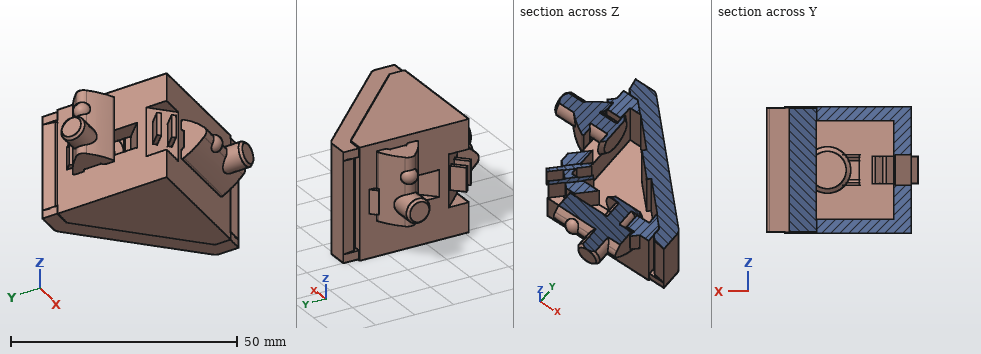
import cadquery as cq
import math


DIAGONAL = math.sqrt(2)

HOUSING_SIDE = 28.0
HOUSING_FLAT = 4.0
WALL = 3.9
CAVITY_REACH = 25.2
CAVITY_HEIGHT = 21.67
NOTCH_LEG = 5.15
NOTCH_HEIGHT = 13.15
WINDOW_START = 7.55

BLADE_HEIGHT = 6.0
BLADE_THICKNESS = 1.0
TERMINAL_OFFSET = 1.7
TERMINAL_LENGTH = 10.1
TAB_OFFSET = 17.55
TAB_TIP = 15.95
TAB_LENGTH = 4.2

COVER_INSET = 0.3
COVER_OVERHANG = 4.0
COVER_THICKNESS = 4.25
COVER_FILLET = 2.1
COVER_PAD_WIDTH = 7.73
COVER_PAD_THICKNESS = 1.0
END_POCKET_HEIGHT = 23.1
END_POCKET_DEPTH = 0.5
END_POCKET_RAMP = 1.05

KNOB_CENTER = 18.52
STICK_DIAMETER = 6.0
STICK_REACH = 10.0
STICK_TIP_DIAMETER = 4.9
STICK_CHAMFER_LENGTH = 0.67
FLANGE_DIAMETER = 10.3
FLANGE_THICKNESS = 1.0
SLOT_CLEARANCE = 0.35
BAR_FRONT = 12.0
BAR_BACK = 5.05
RIDGE_HEIGHT = 6.4
RIDGE_SHOULDER = (1.3, 5.8)
FLANK_MIDDLE = (3.45, 3.4)
FLANK_END = (5.12, 0.65)
BAR_EDGE = (5.25, 0.3)
BAR_FOOT = 5.1
GROOVE_HALF_WIDTH = 2.1
GROOVE_DEPTH = 0.67
BUMP_RADIUS = 2.0
BUMP_CENTER_HEIGHT = 5.35
BUMP_OFFSET = 7.05

HYPOTENUSE_SUM = HOUSING_SIDE + HOUSING_FLAT
HYPOTENUSE_DISTANCE = HYPOTENUSE_SUM / DIAGONAL


def prism(points, height):
    """Vertical prism over an XY outline, centred on Z = 0."""
    return cq.Workplane("XY").polyline(points).close().extrude(height / 2, both=True)


def swapped(points):
    """The outline mirrored across the plane X = Y."""
    return [(y, x) for x, y in points]


def diagonal_box(start, length, offset, width, height):
    """Box along the diagonal, from a distance 'start' from the corner edge, moved sideways by 'offset'."""
    return (
        cq.Workplane("XY")
        .box(length, width, height)
        .translate((start + length / 2, offset, 0))
        .rotate((0, 0, 0), (0, 0, 1), 45)
    )


def cut_square(near, far):
    """Square outline from near to far on both axes, with the far corner cut along the hypotenuse."""
    short = HYPOTENUSE_SUM - far
    return [(near, near), (far, near), (far, short), (short, far), (near, far)]


def make_terminal(side):
    return diagonal_box(0, TERMINAL_LENGTH, side * TERMINAL_OFFSET, BLADE_THICKNESS, BLADE_HEIGHT)


def make_housing(terminals, knobs):
    body = prism(cut_square(0, HOUSING_SIDE), HOUSING_SIDE)
    for side in (-1, 1):
        tab = diagonal_box(TAB_TIP, TAB_LENGTH, side * TAB_OFFSET, BLADE_THICKNESS, BLADE_HEIGHT)
        body = body.union(tab)
    body = body.cut(prism(cut_square(WALL, CAVITY_REACH), CAVITY_HEIGHT))

    notch = [(0, 0), (NOTCH_LEG, 0), (0, NOTCH_LEG)]
    body = body.cut(prism(notch, NOTCH_HEIGHT))

    slot_height = STICK_DIAMETER + 2 * SLOT_CLEARANCE
    slot_end = KNOB_CENTER + slot_height / 2
    window = [(0, WINDOW_START), (WALL, WINDOW_START + WALL), (WALL, slot_end), (0, slot_end)]
    for outline in (window, swapped(window)):
        body = body.cut(prism(outline, slot_height))

    for neighbour in terminals + knobs:
        body = body.cut(neighbour)
    return body


def make_cover():
    far = HOUSING_SIDE + COVER_OVERHANG
    short = HYPOTENUSE_SUM + COVER_THICKNESS * DIAGONAL - far
    near = COVER_INSET
    height = HOUSING_SIDE - 2 * COVER_INSET
    cover = prism([(near, near), (far, near), (far, short), (short, far), (near, far)], height)
    for corner in ((far, short, 0), (short, far, 0)):
        cover = cover.edges(cq.NearestToPointSelector(corner)).fillet(COVER_FILLET)
    cover = cover.cut(prism(cut_square(0, HOUSING_SIDE), HOUSING_SIDE))

    pad_start = HYPOTENUSE_DISTANCE - COVER_PAD_THICKNESS
    pad = diagonal_box(pad_start, COVER_PAD_THICKNESS, 0, COVER_PAD_WIDTH, CAVITY_HEIGHT)
    cover = cover.union(pad)

    ramp_x = HOUSING_SIDE + END_POCKET_RAMP
    floor_y = near + END_POCKET_DEPTH
    pocket = [(HOUSING_SIDE, near), (far, near), (ramp_x, floor_y), (HOUSING_SIDE, floor_y + END_POCKET_RAMP)]
    for outline in (pocket, swapped(pocket)):
        cover = cover.cut(prism(outline, END_POCKET_HEIGHT))
    return cover


def make_knob(wall_plane):
    """Knob on a wall: plane X runs across the bar, Y along it and the normal points out of the wall."""
    shoulder_x, shoulder_h = RIDGE_SHOULDER
    middle_x, middle_h = FLANK_MIDDLE
    end_x, end_h = FLANK_END
    edge_x, edge_h = BAR_EDGE
    groove_mouth = GROOVE_HALF_WIDTH + GROOVE_DEPTH
    profile_plane = cq.Plane(
        origin=wall_plane.toWorldCoords((0, -BAR_BACK, 0)),
        xDir=wall_plane.xDir,
        normal=wall_plane.yDir * -1,
    )
    bar = (
        cq.Workplane(profile_plane)
        .moveTo(-BAR_FOOT, 0)
        .threePointArc((-edge_x, edge_h), (-end_x, end_h))
        .threePointArc((-middle_x, middle_h), (-shoulder_x, shoulder_h))
        .threePointArc((0, RIDGE_HEIGHT), (shoulder_x, shoulder_h))
        .threePointArc((middle_x, middle_h), (end_x, end_h))
        .threePointArc((edge_x, edge_h), (BAR_FOOT, 0))
        .lineTo(groove_mouth, 0)
        .lineTo(GROOVE_HALF_WIDTH, GROOVE_DEPTH)
        .lineTo(-GROOVE_HALF_WIDTH, GROOVE_DEPTH)
        .lineTo(-groove_mouth, 0)
        .close()
        .extrude(-(BAR_BACK + BAR_FRONT))
    )
    stick = (
        cq.Workplane(wall_plane)
        .workplane(offset=-WALL)
        .circle(STICK_DIAMETER / 2)
        .extrude(WALL + STICK_REACH)
        .faces(cq.DirectionMinMaxSelector(wall_plane.zDir))
        .chamfer(STICK_CHAMFER_LENGTH, (STICK_DIAMETER - STICK_TIP_DIAMETER) / 2)
    )
    flange = (
        cq.Workplane(wall_plane)
        .workplane(offset=-WALL)
        .circle(FLANGE_DIAMETER / 2)
        .extrude(-FLANGE_THICKNESS, taper=45)
    )
    bump = (
        cq.Workplane(wall_plane)
        .sphere(BUMP_RADIUS)
        .translate(wall_plane.yDir * BUMP_OFFSET + wall_plane.zDir * BUMP_CENTER_HEIGHT)
    )
    return bar.union(stick).union(flange).union(bump)


knob_planes = [
    cq.Plane(origin=(0, KNOB_CENTER, 0), xDir=(0, -1, 0), normal=(-1, 0, 0)),
    cq.Plane(origin=(KNOB_CENTER, 0, 0), xDir=(0, 0, 1), normal=(0, -1, 0)),
]

terminals = [make_terminal(side) for side in (-1, 1)]
knobs = [make_knob(plane) for plane in knob_planes]
housing = make_housing(terminals, knobs)
cover = make_cover()

bodies = [housing, cover, *terminals, *knobs]
result = cq.Compound.makeCompound([body.solids().val() for body in bodies])